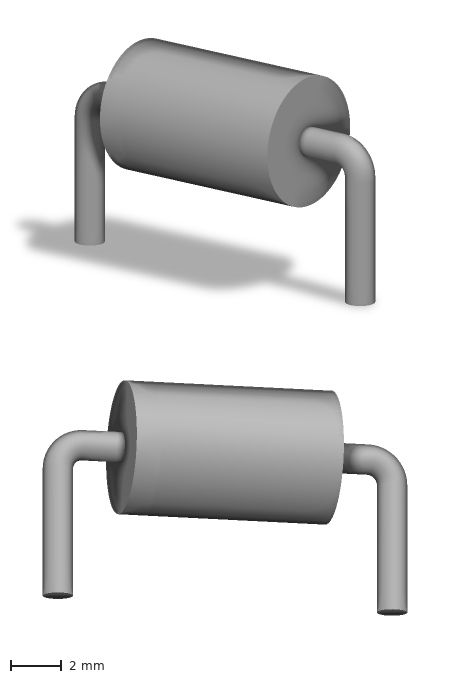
import cadquery as cq

BODY_DIAMETER = 5.3
BODY_LENGTH = 8.4
BAND_LENGTH = 1.0
LEAD_DIAMETER = 1.2
LEAD_PITCH = 13.56
BEND_RADIUS = 1.0
LEAD_DROP = 6.13

BODY_START = -BODY_LENGTH / 2


def make_body_section(start_x, length):
    """Body section along the X axis, beginning at start_x."""
    return cq.Workplane("YZ", origin=(start_x, 0, 0)).circle(BODY_DIAMETER / 2).extrude(length)


def make_lead():
    """Round wire from the body centre out along -X, then bent down toward -Z."""
    tip_x = -LEAD_PITCH / 2
    path = (
        cq.Workplane("XZ")
        .moveTo(tip_x, -LEAD_DROP)
        .lineTo(tip_x, -BEND_RADIUS)
        .radiusArc((tip_x + BEND_RADIUS, 0), BEND_RADIUS)
        .lineTo(0, 0)
    )
    tip = cq.Workplane("XY", origin=(tip_x, 0, -LEAD_DROP)).circle(LEAD_DIAMETER / 2)
    return tip.sweep(path)


band = make_body_section(BODY_START, BAND_LENGTH)
main_body = make_body_section(BODY_START + BAND_LENGTH, BODY_LENGTH - BAND_LENGTH)
left_lead = make_lead()
right_lead = left_lead.mirror("YZ")

result = main_body
for piece in (band, left_lead, right_lead):
    result = result.union(piece, clean=False)